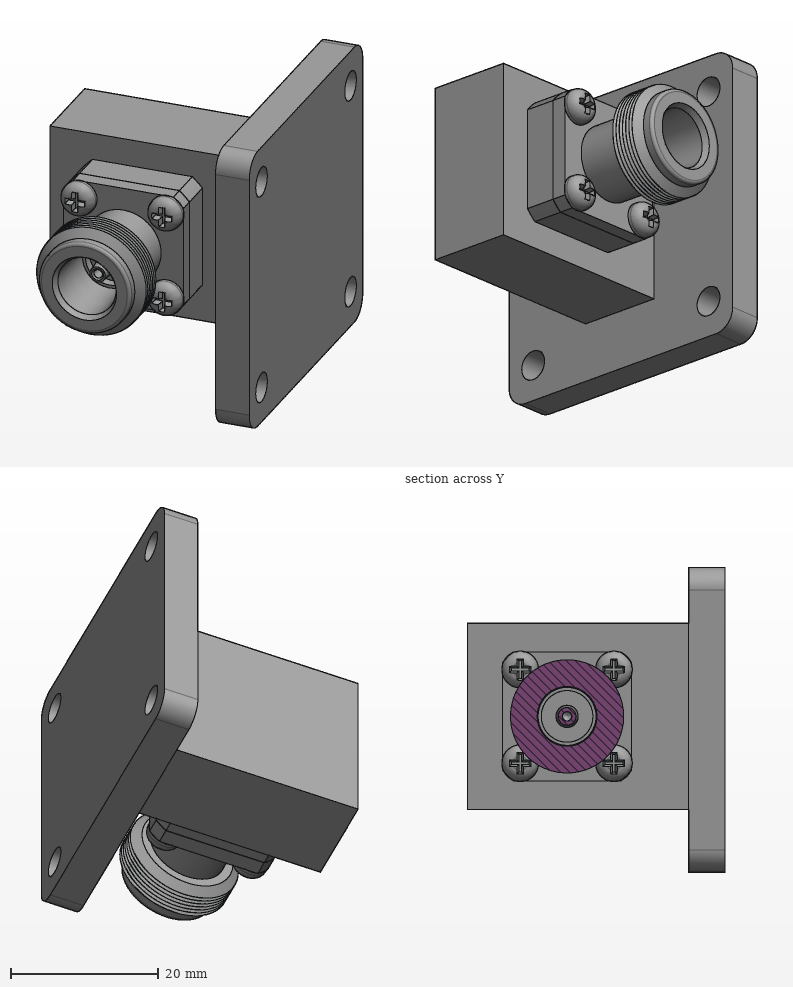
import cadquery as cq
import math


block_left = -13.55
block_length = 30.05
block_depth = 12.65
block_height = 25.35

flange_thickness = 4.95
flange_side = 41.4
flange_corner_radius = 3.0
flange_center_y = 6.15
flange_center_z = -0.5
bolt_hole_diameter = 4.2
bolt_pitch_y = 32.45
bolt_pitch_z = 30.95

plate_side = 17.5
plate_corner_diameter = 22.8
pad_thickness = 4.7
plate_gap = 0.05
plate_thickness = 2.15

barrel_diameter = 11.0
coupling_start = 14.0
first_crest = 15.05
last_crest = 18.6
crest_count = 7
thread_end = 19.6
mouth = 21.15
crest_diameter = 16.05
root_diameter = 15.25
nose_diameter = 13.5
nose_edge_radius = 0.5

mouth_diameter = 9.4
bore_diameter = 8.5
seat_diameter = 7.85
socket_diameter = 7.0
mouth_chamfer_depth = 0.9
seat_depth = 9.1
socket_depth = 10.55

contact_diameter = 3.0
contact_tip_depth = 4.8
contact_tip_diameter = 2.25
contact_hole_diameter = 1.25
contact_mouth_diameter = 1.75
contact_hole_depth = 2.9
drill_point_angle = 118

screw_pitch = 12.7
screw_diameter = 5.0
screw_height = 2.0
screw_edge_radius = 1.55
recess_length = 3.0
recess_width = 0.9
recess_depth = 0.85
recess_taper = 18

pad_front = -pad_thickness
plate_back = pad_front - plate_gap
thread_pitch = (last_crest - first_crest) / (crest_count - 1)
plate_front = plate_back - plate_thickness
flange_back_x = block_left + block_length


def box_between_y(width, height, y_back, y_front):
    """Box centered on the connector axis, reaching forward from y_back to y_front."""
    return cq.Workplane("XZ", origin=(0, y_back, 0)).rect(width, height).extrude(y_back - y_front)


def cut_corner_plate(y_back, y_front):
    """Square plate whose corners are trimmed by a circle around the connector axis."""
    square = box_between_y(plate_side, plate_side, y_back, y_front)
    disc = cq.Workplane("XZ", origin=(0, y_back, 0)).circle(plate_corner_diameter / 2)
    return square.intersect(disc.extrude(y_back - y_front))


def revolve_about_axis(points):
    """Solid turned about the Y axis from a closed outline of (radius, y) points."""
    return cq.Workplane("XY").polyline(points).close().revolve(360, (0, 0), (0, 1))


def make_flange():
    plate = (
        cq.Workplane("YZ", origin=(flange_back_x, flange_center_y, flange_center_z))
        .rect(flange_side, flange_side)
        .extrude(flange_thickness)
        .edges("|X")
        .fillet(flange_corner_radius)
    )
    holes = (
        cq.Workplane("YZ", origin=(flange_back_x, flange_center_y, flange_center_z))
        .rect(bolt_pitch_y, bolt_pitch_z, forConstruction=True)
        .vertices()
        .circle(bolt_hole_diameter / 2)
        .extrude(flange_thickness)
    )
    return plate.cut(holes)


def make_waveguide():
    """Block, flange and pad in one piece."""
    block = cq.Workplane("XY").box(
        block_length, block_depth, block_height, centered=(False, False, True)
    ).translate((block_left, 0, 0))
    return block.union(make_flange()).union(cut_corner_plate(0, pad_front))


def make_coupling():
    """Barrel with the threaded ring and nose; the thread is a row of V grooves."""
    nose_radius = nose_diameter / 2
    points = [
        (0, plate_front),
        (barrel_diameter / 2, plate_front),
        (barrel_diameter / 2, -coupling_start),
        (nose_radius, -coupling_start),
    ]
    for i in range(crest_count):
        crest_y = -first_crest - i * thread_pitch
        if i > 0:
            points.append((root_diameter / 2, crest_y + thread_pitch / 2))
        points.append((crest_diameter / 2, crest_y))
    points += [
        (nose_radius, -thread_end),
        (nose_radius, -mouth),
        (0, -mouth),
    ]
    return revolve_about_axis(points).faces("<Y").edges().fillet(nose_edge_radius)


def make_bore():
    """Cavity with a chamfered mouth, a tapered bore and a narrower socket."""
    return revolve_about_axis([
        (0, -mouth),
        (mouth_diameter / 2, -mouth),
        (bore_diameter / 2, -mouth + mouth_chamfer_depth),
        (seat_diameter / 2, -mouth + seat_depth),
        (socket_diameter / 2, -mouth + seat_depth),
        (socket_diameter / 2, -mouth + socket_depth),
        (0, -mouth + socket_depth),
    ])


def make_contact():
    """Center contact that tapers to its tip, with a countersunk, drilled hole."""
    tip_y = -mouth + contact_tip_depth
    hole_radius = contact_hole_diameter / 2
    mouth_radius = contact_mouth_diameter / 2
    point_depth = hole_radius / math.tan(math.radians(drill_point_angle / 2))
    return revolve_about_axis([
        (0, -mouth + socket_depth),
        (contact_diameter / 2, -mouth + socket_depth),
        (contact_tip_diameter / 2, tip_y),
        (mouth_radius, tip_y),
        (hole_radius, tip_y + mouth_radius - hole_radius),
        (hole_radius, tip_y + contact_hole_depth),
        (0, tip_y + contact_hole_depth + point_depth),
    ])


def make_screw_head():
    """Rounded head standing on the plate, with a tapered cross recess."""
    head = (
        cq.Workplane("XZ", origin=(0, plate_front, 0))
        .circle(screw_diameter / 2)
        .extrude(screw_height)
        .faces("<Y")
        .edges()
        .fillet(screw_edge_radius)
    )
    recess_plane = cq.Workplane("XZ", origin=(0, plate_front - screw_height, 0))
    for size in ((recess_length, recess_width), (recess_width, recess_length)):
        head = head.cut(recess_plane.rect(*size).extrude(-recess_depth, taper=recess_taper))
    return head


def make_connector():
    """Plate, barrel, center contact and four screw heads in one piece."""
    body = cut_corner_plate(plate_back, plate_front).union(make_coupling())
    body = body.cut(make_bore()).union(make_contact())
    screw_head = make_screw_head()
    for side_x in (-1, 1):
        for side_z in (-1, 1):
            place = (side_x * screw_pitch / 2, 0, side_z * screw_pitch / 2)
            body = body.union(screw_head.translate(place))
    return body


waveguide = make_waveguide()
connector = make_connector()
result = cq.Compound.makeCompound([waveguide.val(), connector.val()])